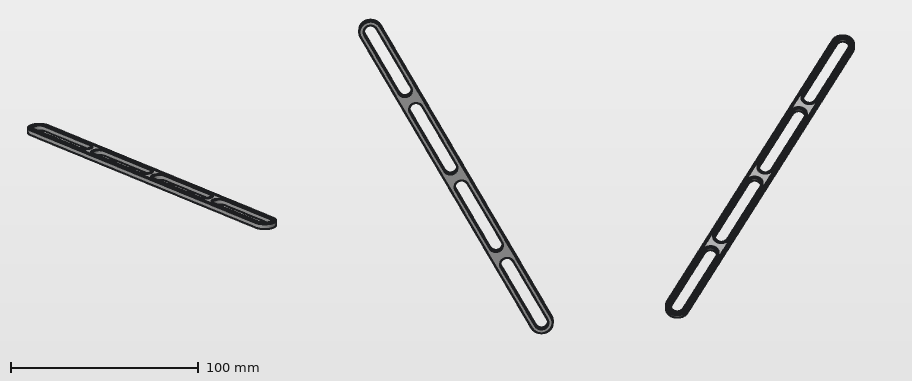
import cadquery as cq

length = 200.0
width = 12.5
height = 3.2
lip = 1.0
channel_width = 0.7
channel_depth = 0.5
edge_chamfer = 0.35
slot_count = 4

wall = 2 * lip + channel_width
slot_pitch = length / slot_count
slot_length = slot_pitch - 2 * wall
slot_width = width - 2 * wall
slot_centers = [((i - (slot_count - 1) / 2) * slot_pitch, 0) for i in range(slot_count)]
channel_floor = height - channel_depth


def slot_prisms(margin, bottom):
    """Round-ended prisms, one per slot, grown by margin and reaching up to the top face."""
    return (
        cq.Workplane("XY", origin=(0, 0, bottom))
        .pushPoints(slot_centers)
        .slot2D(slot_length + 2 * margin, slot_width + 2 * margin)
        .extrude(height - bottom)
    )


def chamfered_frame():
    """Round-ended flat bar with its row of slots; all top and bottom edges are chamfered."""
    bar = cq.Workplane("XY").slot2D(length, width).extrude(height)
    return bar.cut(slot_prisms(0, 0)).faces(">Z or <Z").edges().chamfer(edge_chamfer)


def top_channel():
    """Shallow recess between the outer lip and the slot lips; it also covers the webs between slots."""
    inside_outer_lip = (
        cq.Workplane("XY", origin=(0, 0, channel_floor))
        .slot2D(length - 2 * lip, width - 2 * lip)
        .extrude(channel_depth)
    )
    return inside_outer_lip.cut(slot_prisms(lip, channel_floor))


result = chamfered_frame().cut(top_channel())